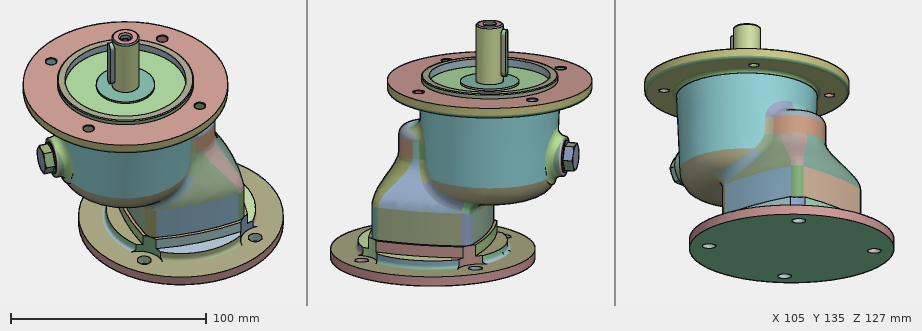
import cadquery as cq
import math

FLANGE_DIA = 105.0
BOLT_CIRCLE_DIA = 85.0
LOWER_FLANGE_TOP = 5.0
PAD_TOP = 9.4
LIP_TOP = 15.3
PRISM_TOP = 32.5
NECK_BOTTOM = 57.0
NECK_TOP = 70.7
BOWL_FLOOR = 36.6
BOWL_KNUCKLE = 49.0
UPPER_FLANGE_BOTTOM = 91.5
UPPER_FLANGE_TOP = 97.0
SPIGOT_TOP = 99.5
SHAFT_TOP = 127.0

AXIS_OFFSET = 30.0

LOWER_HOLE_DIA = 7.0
PAD_RADIUS = 38.3
PAD_FILLET = 1.9
SCALLOP_RADIUS = 12.6
SCALLOP_BEYOND_HOLE = 5.7
LIP_OVERHANG = 1.7

CASING_HALF = 28.8
CASING_CORNER_HALF = 26.7
CASING_FLAT_HALF = 22.2
NECK_RADIUS = 17.5
NECK_FILLET = 4.7
BLEND_SECTIONS = 6
JOINT_FILLET = 6.0

BOWL_RADIUS = 36.2
BOWL_KNUCKLE_RADIUS = 34.4
BOWL_FLOOR_RADIUS = 16.8

RIM_FILLET = 1.5
FLANGE_ROOT_FILLET = 2.0
UPPER_HOLE_DIA = 5.3
UPPER_HOLE_MOUTH_DIA = 6.0
SPIGOT_DIA = 70.0
SPIGOT_CHAMFER = 0.5
RECESS_DIA = 62.0
RECESS_DEPTH = 4.0
SEAL_DIA = 30.0
SEAL_HEIGHT = 1.0

SHAFT_DIA = 14.0
SHAFT_CHAMFER = 0.7
KEY_WIDTH = 5.0
KEY_LENGTH = 25.0
KEY_OUTER = 9.0
CENTRE_MOUTH_DIA = 7.0
CENTRE_BORE_DIA = 5.3
CENTRE_BORE_DEPTH = 3.0
CENTRE_CORE_DIA = 4.13
CENTRE_CORE_DEPTH = 12.5
DRILL_POINT_ANGLE = 118.0

PLUG_Z = 59.0
BOSS_RADIUS = 10.4
BOSS_FACE = 40.0
BOSS_RIM_FILLET = 0.7
BOSS_ROOT_FILLET = 4.5
BOSS_PATCH_RADIUS = 14.9
BOSS_WALL_INSET = 0.05
BOSS_PATCH_DEPTH = 24.0
COLLAR_DIA = 16.66
COLLAR_FACE = 40.6
HEX_ACROSS_FLATS = 13.0
HEX_FACE = 45.6
HEX_CHAMFER_ANGLE = 20.0

SEAM_SAMPLES = (0.2, 0.5, 0.8)
SEAM_TOLERANCE = 0.01

LOWER_CENTRE = (0.0, AXIS_OFFSET)


def disc(diameter, bottom, top, centre=(0.0, 0.0)):
    return cq.Workplane("XY", origin=(*centre, bottom)).circle(diameter / 2).extrude(top - bottom)


def bolt_points(radius):
    """Four points on the diagonals at the given distance from the axis."""
    reach = radius / math.sqrt(2)
    return [(sx * reach, sy * reach) for sx in (-1, 1) for sy in (-1, 1)]


def casing_section(z, blend):
    """Closed wire of four side arcs and four corner arcs; blend 0 is square, 1 is round."""
    def mix(square, round_):
        return square + (round_ - square) * blend

    half_span = math.radians(45) / 2
    side = mix(CASING_HALF, NECK_RADIUS)
    edge = mix(CASING_CORNER_HALF, NECK_RADIUS * math.cos(half_span))
    start = mix(CASING_FLAT_HALF, NECK_RADIUS * math.sin(half_span))
    side_turn = 2 * math.atan((side - edge) / start)
    corner_turn = math.radians(45) - side_turn
    corner = (edge + start) / 2 + (edge - start) / 2 * math.tan(corner_turn / 2)

    path = cq.Workplane("XY", origin=(*LOWER_CENTRE, z)).moveTo(edge, -start)
    for c, s in ((1, 0), (0, 1), (-1, 0), (0, -1)):
        turned = [(x * c - y * s, x * s + y * c)
                  for x, y in ((side, 0), (edge, start), (corner, corner), (start, edge))]
        path = path.threePointArc(turned[0], turned[1])
        path = path.threePointArc(turned[2], turned[3])
    return path.close().wire()


def make_casing():
    """Bulged square prism that blends up into a round neck with a rounded top."""
    prism = casing_section(LIP_TOP, 0.0).extrude(PRISM_TOP - LIP_TOP)
    sections = []
    for i in range(BLEND_SECTIONS):
        t = i / (BLEND_SECTIONS - 1)
        smooth_step = t * t * (3 - 2 * t)
        sections.append(casing_section(PRISM_TOP + t * (NECK_BOTTOM - PRISM_TOP), smooth_step).val())
    blend = cq.Workplane(cq.Solid.makeLoft(sections))
    neck = casing_section(NECK_BOTTOM, 1.0).extrude(NECK_TOP - NECK_BOTTOM)
    neck = neck.faces(">Z").edges().fillet(NECK_FILLET)
    return prism.union(blend).union(neck)


def make_bowl():
    """Tapered round bowl whose wall curves smoothly into a flat floor."""
    wall_direction = (BOWL_KNUCKLE_RADIUS - BOWL_RADIUS, BOWL_KNUCKLE - UPPER_FLANGE_BOTTOM)
    inward = (-1, 0)
    return (cq.Workplane("YZ").moveTo(0, UPPER_FLANGE_BOTTOM)
            .lineTo(BOWL_RADIUS, UPPER_FLANGE_BOTTOM).lineTo(BOWL_KNUCKLE_RADIUS, BOWL_KNUCKLE)
            .spline([(BOWL_FLOOR_RADIUS, BOWL_FLOOR)], tangents=[wall_direction, inward], includeCurrent=True)
            .lineTo(0, BOWL_FLOOR).close().revolve(360, (0, 0), (0, 1)))


def fillet_joint(first, second, radius):
    """Union two bodies and round the seam where their surfaces meet."""
    def lies_on(edge, body):
        samples = [cq.Vertex.makeVertex(*edge.positionAt(t).toTuple()) for t in SEAM_SAMPLES]
        return all(body.val().distance(point) < SEAM_TOLERANCE for point in samples)

    joined = first.union(second)
    seam = [e for e in joined.edges().vals() if lies_on(e, first) and lies_on(e, second)]
    return joined.newObject(seam).fillet(radius)


def make_upper_flange():
    """Disc with a rounded lower rim and a root fillet down onto the bowl."""
    rim = FLANGE_DIA / 2
    root = FLANGE_ROOT_FILLET
    return (cq.Workplane("XZ").moveTo(0, UPPER_FLANGE_BOTTOM - root)
            .lineTo(BOWL_RADIUS, UPPER_FLANGE_BOTTOM - root)
            .radiusArc((BOWL_RADIUS + root, UPPER_FLANGE_BOTTOM), root)
            .lineTo(rim - RIM_FILLET, UPPER_FLANGE_BOTTOM)
            .radiusArc((rim, UPPER_FLANGE_BOTTOM + RIM_FILLET), -RIM_FILLET)
            .lineTo(rim, UPPER_FLANGE_TOP).lineTo(0, UPPER_FLANGE_TOP).close()
            .revolve(360, (0, 0), (0, 1)))


def add_spigot(body):
    """Raised locating ring with a recess inside it and a low seal disc on the recess floor."""
    spigot = disc(SPIGOT_DIA, UPPER_FLANGE_TOP, SPIGOT_TOP).faces(">Z").edges().chamfer(SPIGOT_CHAMFER)
    floor = SPIGOT_TOP - RECESS_DEPTH
    seal = disc(SEAL_DIA, floor, floor + SEAL_HEIGHT)
    return body.union(spigot).cut(disc(RECESS_DIA, floor, SPIGOT_TOP)).union(seal)


def drill_upper_holes(body):
    """Through holes on the bolt circle, each with a small chamfered mouth."""
    hole_depth = UPPER_FLANGE_TOP - UPPER_FLANGE_BOTTOM
    holes = (cq.Workplane("XY", origin=(0, 0, UPPER_FLANGE_TOP))
             .pushPoints(bolt_points(BOLT_CIRCLE_DIA / 2))
             .circle(UPPER_HOLE_DIA / 2).extrude(-hole_depth))
    for x, y in bolt_points(BOLT_CIRCLE_DIA / 2):
        depth = (UPPER_HOLE_MOUTH_DIA - UPPER_HOLE_DIA) / 2
        mouth = cq.Solid.makeCone(UPPER_HOLE_MOUTH_DIA / 2, UPPER_HOLE_DIA / 2, depth,
                                  cq.Vector(x, y, UPPER_FLANGE_TOP), cq.Vector(0, 0, -1))
        holes = holes.union(cq.Workplane(mouth))
    return body.cut(holes)


def make_foot():
    """Round pad and square lip, scalloped beside each bolt hole, on the lower flange."""
    pad = disc(2 * PAD_RADIUS, LOWER_FLANGE_TOP, PAD_TOP, LOWER_CENTRE)
    skirt = (cq.Workplane("XZ", origin=(0, AXIS_OFFSET, 0))
             .moveTo(0, LOWER_FLANGE_TOP).lineTo(PAD_RADIUS + PAD_FILLET, LOWER_FLANGE_TOP)
             .radiusArc((PAD_RADIUS, LOWER_FLANGE_TOP + PAD_FILLET), PAD_FILLET)
             .lineTo(0, LOWER_FLANGE_TOP + PAD_FILLET).close().revolve(360, (0, 0), (0, 1)))
    lip = (casing_section(PAD_TOP, 0.0).offset2D(LIP_OVERHANG).extrude(LIP_TOP - PAD_TOP))
    scallops = (cq.Workplane("XY", origin=(*LOWER_CENTRE, LOWER_FLANGE_TOP))
                .pushPoints(bolt_points(BOLT_CIRCLE_DIA / 2 + SCALLOP_BEYOND_HOLE))
                .circle(SCALLOP_RADIUS).extrude(LIP_TOP - LOWER_FLANGE_TOP))
    flange = disc(FLANGE_DIA, 0, LOWER_FLANGE_TOP, LOWER_CENTRE)
    holes = (cq.Workplane("XY", origin=(*LOWER_CENTRE, 0)).pushPoints(bolt_points(BOLT_CIRCLE_DIA / 2))
             .circle(LOWER_HOLE_DIA / 2).extrude(LOWER_FLANGE_TOP))
    return pad.union(skirt).union(lip).cut(scallops).union(flange).cut(holes)


def make_shaft():
    """Output shaft with a round-ended key and a stepped centre hole in its end."""
    shaft = disc(SHAFT_DIA, SPIGOT_TOP - RECESS_DEPTH, SHAFT_TOP).faces(">Z").edges().chamfer(SHAFT_CHAMFER)
    key = (cq.Workplane("XZ", origin=(0, 0, SPIGOT_TOP + KEY_LENGTH / 2))
           .slot2D(KEY_LENGTH, KEY_WIDTH, 90).extrude(KEY_OUTER))
    mouth, bore, core = (d / 2 for d in (CENTRE_MOUTH_DIA, CENTRE_BORE_DIA, CENTRE_CORE_DIA))
    point = core / math.tan(math.radians(DRILL_POINT_ANGLE / 2))
    centre_hole = (cq.Workplane("XZ", origin=(0, 0, SHAFT_TOP)).polyline([
        (0, 0), (mouth, 0), (bore, bore - mouth), (bore, -CENTRE_BORE_DEPTH),
        (core, -CENTRE_BORE_DEPTH), (core, -CENTRE_CORE_DEPTH), (0, -CENTRE_CORE_DEPTH - point),
    ]).close().revolve(360, (0, 0), (0, 1)))
    return shaft.union(key).cut(centre_hole)


def make_boss():
    """Round plug boss with its root fillet, on a round patch of the bowl's straight tapered wall."""
    taper = (BOWL_RADIUS - BOWL_KNUCKLE_RADIUS) / (UPPER_FLANGE_BOTTOM - BOWL_KNUCKLE)
    wall_bottom = PLUG_Z - 2 * BOSS_PATCH_RADIUS
    wall_height = UPPER_FLANGE_BOTTOM - wall_bottom
    wall_top_radius = BOWL_RADIUS - BOSS_WALL_INSET
    wall_bottom_radius = wall_top_radius - taper * wall_height
    wall = cq.Workplane(cq.Solid.makeCone(wall_bottom_radius, wall_top_radius, wall_height,
                                          cq.Vector(0, 0, wall_bottom), cq.Vector(0, 0, 1)))
    axis = cq.Workplane("XZ", origin=(0, 0, PLUG_Z))
    boss = fillet_joint(wall, axis.circle(BOSS_RADIUS).extrude(BOSS_FACE), BOSS_ROOT_FILLET)
    boss = boss.faces("<Y").edges().fillet(BOSS_RIM_FILLET)
    patch = axis.workplane(offset=BOSS_PATCH_DEPTH).circle(BOSS_PATCH_RADIUS).extrude(BOSS_FACE - BOSS_PATCH_DEPTH)
    return boss.intersect(patch)


def make_plug():
    """Hexagon plug head on a thin round collar, corners turned off at the end face."""
    base = cq.Workplane("XZ", origin=(0, -BOSS_FACE, PLUG_Z))
    collar = base.circle(COLLAR_DIA / 2).extrude(COLLAR_FACE - BOSS_FACE)
    across_corners = HEX_ACROSS_FLATS / math.cos(math.radians(30))
    head = base.polygon(6, across_corners).extrude(HEX_FACE - BOSS_FACE)
    corner_height = (across_corners - HEX_ACROSS_FLATS) / 2
    setback = corner_height * math.tan(math.radians(HEX_CHAMFER_ANGLE))
    turned = base.circle(across_corners / 2).extrude(HEX_FACE - BOSS_FACE)
    turned = turned.faces("<Y").edges().chamfer(setback, corner_height)
    return collar.union(head.intersect(turned))


bowl = make_bowl().union(make_boss())
housing = fillet_joint(make_casing(), bowl, JOINT_FILLET)
upper = drill_upper_holes(add_spigot(make_upper_flange()))
result = housing.union(upper).union(make_foot()).union(make_shaft()).union(make_plug())